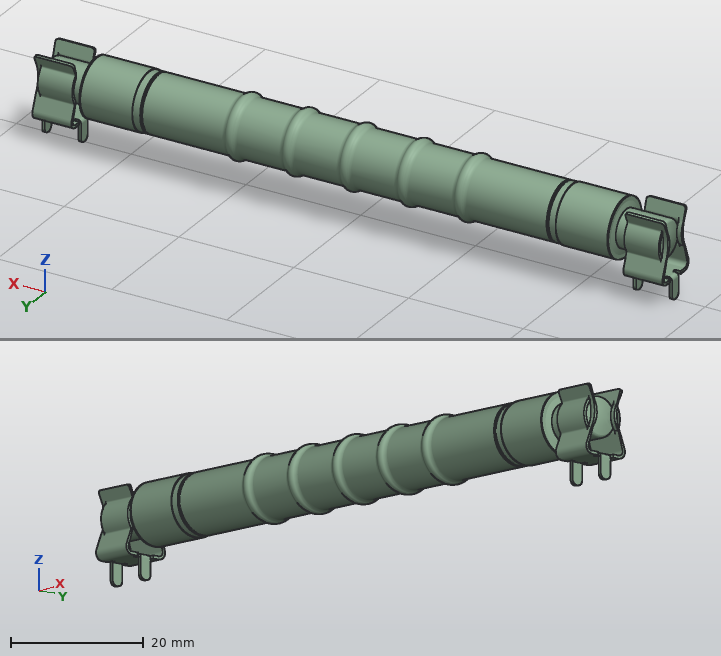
import cadquery as cq
import math

overall_length = 109.8
half_length = overall_length / 2

tube_diameter = 9.8
bead_count = 5
bead_pitch = 10.0
bead_diameter = 10.8
bead_half_width = 1.3
groove_diameter = 9.4
groove_width = 0.3
groove_outer_end = 35.6

sleeve_diameter = 10.0
sleeve_bore = 9.2
sleeve_inner_end = 36.9

contact_diameter = 6.4
disc_face = 46.1
disc_thickness = 0.2
disc_back = disc_face - disc_thickness
shoulder_diameter = 8.5
shoulder_height = 0.2
crown_start = 53.6
contact_tip = 54.1
crown_rim_radius = 0.5

sheet = 0.49
clip_length = 6.8
grip_inner_radius = contact_diameter / 2
grip_outer_radius = grip_inner_radius + sheet
grip_top_angle = 44.0
grip_bottom_angle = -37.0
neck_radius = 0.3
flare_tip_y = 3.1
flare_tip_z = 4.6
flare_corner_radius = 0.5
base_bottom_z = -6.3
base_bend_y = 2.7
base_bend_radius = 1.2

stop_length = 0.82
stop_half_gap = 1.8
stop_waist_z = 0.4
grip_length = clip_length - stop_length
grip_center_x = half_length - clip_length + grip_length / 2

leg_width = 2.0
leg_bottom_z = -9.8
leg_corner_radius = 0.9
leg_bend_radius = 0.7
relief_width = 0.5
relief_depth = 1.0


def make_tube():
    """Solid tube with rounded beads blended into it and a narrow groove near each end."""
    body = cq.Workplane("YZ").circle(tube_diameter / 2).extrude(sleeve_inner_end, both=True)
    spigots = cq.Workplane("YZ").circle(sleeve_bore / 2).extrude(disc_back, both=True)
    body = body.union(spigots)
    for i in range(bead_count):
        body = body.union(make_bead((i - (bead_count - 1) / 2) * bead_pitch))
    for side in (-1, 1):
        groove = (
            cq.Workplane("YZ")
            .workplane(offset=side * (groove_outer_end - groove_width / 2))
            .circle(tube_diameter / 2)
            .circle(groove_diameter / 2)
            .extrude(groove_width / 2, both=True)
        )
        body = body.cut(groove)
    return body


def make_bead(center_x):
    """Bead of revolution: a convex crown arc met by an equal concave arc on each side."""
    foot_r = tube_diameter / 2
    crown_r = bead_diameter / 2
    height = crown_r - foot_r
    arc_angle = 2 * math.atan(height / bead_half_width)
    arc_radius = bead_half_width / 2 / math.sin(arc_angle)
    inflection_x = bead_half_width / 2
    inflection_r = foot_r + height / 2
    blend_x = bead_half_width - arc_radius * math.sin(arc_angle / 2)
    blend_r = foot_r + arc_radius * (1 - math.cos(arc_angle / 2))
    return (
        cq.Workplane("XZ")
        .moveTo(center_x - bead_half_width, 0)
        .lineTo(center_x - bead_half_width, foot_r)
        .threePointArc((center_x - blend_x, blend_r), (center_x - inflection_x, inflection_r))
        .threePointArc((center_x, crown_r), (center_x + inflection_x, inflection_r))
        .threePointArc((center_x + blend_x, blend_r), (center_x + bead_half_width, foot_r))
        .lineTo(center_x + bead_half_width, 0)
        .close()
        .revolve(360, (0, 0, 0), (1, 0, 0))
    )


def make_sleeve():
    """Sleeve near the +X end, from the tube's step to the disc of the contact pin."""
    return (
        cq.Workplane("YZ")
        .workplane(offset=sleeve_inner_end)
        .circle(sleeve_diameter / 2)
        .circle(sleeve_bore / 2)
        .extrude(disc_back - sleeve_inner_end)
    )


def make_contact():
    """Contact pin on the +X end: disc, tapered shoulder, straight shank and domed crown."""
    shank_r = contact_diameter / 2
    crown_height = contact_tip - crown_start
    crown_sphere = (shank_r**2 + crown_height**2) / (2 * crown_height)
    crown_mid_r = shank_r / 2
    crown_mid_x = contact_tip - crown_sphere + math.sqrt(crown_sphere**2 - crown_mid_r**2)
    contact = (
        cq.Workplane("XY")
        .moveTo(disc_back, 0)
        .lineTo(disc_back, sleeve_diameter / 2)
        .lineTo(disc_face, sleeve_diameter / 2)
        .lineTo(disc_face, shoulder_diameter / 2)
        .lineTo(disc_face + shoulder_height, shank_r)
        .lineTo(crown_start, shank_r)
        .threePointArc((crown_mid_x, crown_mid_r), (contact_tip, 0))
        .close()
        .revolve(360, (0, 0, 0), (1, 0, 0))
    )
    crown_rim = cq.selectors.NearestToPointSelector((crown_start, 0, 0))
    return contact.edges("%CIRCLE").edges(crown_rim).fillet(crown_rim_radius)


def polar(radius, degrees):
    """Point in the YZ plane at a radius and angle about the tube axis."""
    return (radius * math.cos(math.radians(degrees)), radius * math.sin(math.radians(degrees)))


def bend_point(radius, degrees):
    """Point at a radius and angle about the center of the base bend."""
    y, z = polar(radius, degrees)
    return (base_bend_y + y, base_bottom_z + base_bend_radius + z)


def bend_tangent_angle(start, radius):
    """Angle on the base bend where a line from a start point above it touches tangentially."""
    center_y, center_z = bend_point(0, 0)
    dy = start[0] - center_y
    dz = start[1] - center_z
    return math.degrees(math.atan2(dz, dy) - math.acos(radius / math.hypot(dy, dz)))


def make_arm_section(start_x, length, grip_middle_inner, grip_middle_outer):
    """Stretch of the +Y arm with its half of the base; the grip arcs pass through the given points."""
    inner_top = polar(grip_inner_radius, grip_top_angle)
    inner_bottom = polar(grip_inner_radius, grip_bottom_angle)
    outer_top = polar(grip_outer_radius, grip_top_angle)
    outer_bottom = polar(grip_outer_radius, grip_bottom_angle)
    flare_angle = math.atan2(flare_tip_z - inner_top[1], flare_tip_y - inner_top[0])
    flare_tip_outer = (
        flare_tip_y + sheet * math.sin(flare_angle),
        flare_tip_z - sheet * math.cos(flare_angle),
    )
    bend_inner_radius = base_bend_radius - sheet
    inner_angle = bend_tangent_angle(inner_bottom, bend_inner_radius)
    outer_angle = bend_tangent_angle(outer_bottom, base_bend_radius)
    base_angle = -90
    return (
        cq.Workplane("YZ")
        .workplane(offset=start_x)
        .moveTo(flare_tip_y, flare_tip_z)
        .lineTo(*inner_top)
        .threePointArc(grip_middle_inner, inner_bottom)
        .lineTo(*bend_point(bend_inner_radius, inner_angle))
        .threePointArc(
            bend_point(bend_inner_radius, (inner_angle + base_angle) / 2),
            bend_point(bend_inner_radius, base_angle),
        )
        .lineTo(0, base_bottom_z + sheet)
        .lineTo(0, base_bottom_z)
        .lineTo(*bend_point(base_bend_radius, base_angle))
        .threePointArc(
            bend_point(base_bend_radius, (outer_angle + base_angle) / 2),
            bend_point(base_bend_radius, outer_angle),
        )
        .lineTo(*outer_bottom)
        .threePointArc(grip_middle_outer, outer_top)
        .lineTo(*flare_tip_outer)
        .close()
        .extrude(length)
    )


def fillet_necks(grip, radius, fillet_radius):
    """Round the two edges where the grip, at the given radius, turns into the flare and the flank."""
    for angle in (grip_top_angle, grip_bottom_angle):
        neck = cq.selectors.NearestToPointSelector((grip_center_x, *polar(radius, angle)))
        grip = grip.edges(neck).fillet(fillet_radius)
    return grip


def make_arm():
    """The +Y arm at the +X end: a grip that hugs the contact pin, then an inward end stop."""
    grip = make_arm_section(
        half_length - clip_length, grip_length, (grip_inner_radius, 0), (grip_outer_radius, 0)
    )
    grip = fillet_necks(grip, grip_outer_radius, neck_radius)
    grip = fillet_necks(grip, grip_inner_radius, neck_radius + sheet)
    stop = make_arm_section(
        half_length - stop_length,
        stop_length,
        (stop_half_gap, stop_waist_z),
        (stop_half_gap + sheet, stop_waist_z),
    )
    tip_corners = cq.selectors.BoxSelector(
        (0, 0, flare_tip_z - sheet), (overall_length, bead_diameter, flare_tip_z + sheet)
    )
    return grip.union(stop).clean().edges(tip_corners).edges("not |X").fillet(flare_corner_radius)


def make_leg():
    """Solder leg at the +X end: a tongue of the base folded down through a rounded bend."""
    root_x = half_length - relief_depth
    leg = (
        cq.Workplane("XZ")
        .moveTo(root_x, base_bottom_z + sheet)
        .lineTo(half_length, base_bottom_z + sheet)
        .lineTo(half_length, leg_bottom_z)
        .lineTo(half_length - sheet, leg_bottom_z)
        .lineTo(half_length - sheet, base_bottom_z)
        .lineTo(root_x, base_bottom_z)
        .close()
        .extrude(leg_width / 2, both=True)
    )
    leg = leg.edges(">X and >Z").fillet(leg_bend_radius)
    leg = leg.faces("<Z").edges("|X").fillet(leg_corner_radius)
    return leg


def make_clip():
    """Clip at the +X end: two gripping arms on a base with a solder leg at each end."""
    relief = (
        cq.Workplane("XY")
        .box(relief_depth, leg_width + 2 * relief_width, sheet)
        .translate((half_length - relief_depth / 2, 0, base_bottom_z + sheet / 2))
    )
    outer_leg = make_leg()
    clip_middle = half_length - clip_length / 2
    arm = make_arm()
    clip = arm.union(arm.mirror("XZ"))
    for turn in (0, 180):
        spin = ((clip_middle, 0, 0), (clip_middle, 0, 1), turn)
        clip = clip.cut(relief.rotate(*spin)).union(outer_leg.rotate(*spin))
    return clip


def at_both_ends(body):
    """A body built at the +X end and its copy turned round to the -X end."""
    return [body.rotate((0, 0, 0), (0, 0, 1), turn).val() for turn in (0, 180)]


tube = make_tube()
sleeves = at_both_ends(make_sleeve())
contacts = at_both_ends(make_contact())
clips = at_both_ends(make_clip())

result = cq.Compound.makeCompound([tube.val(), *sleeves, *contacts, *clips])